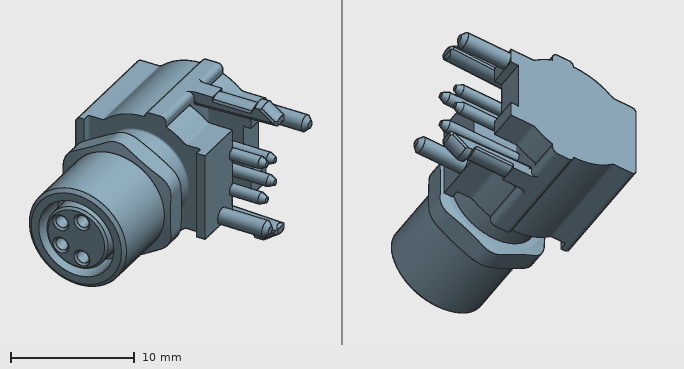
import cadquery as cq
import math


body_half_width = 6.0
body_half_height = 4.0
body_length = 9.3
flange_reach = 0.7
flange_thickness = 0.8
flange_root_radius = 0.18
barrel_bulge_radius = 5.5
blend_radius = 0.5
wing_end = 2.0
wing_top = barrel_bulge_radius + blend_radius

slot_back = -2.48
slot_front = -5.51
slot_corner_radius = 0.16

recess_depth = 0.7
recess_half_height = 2.45

total_length = 20.5
overlap = 0.2
neck_radius = 4.0
neck_root_radius = 0.18
nut_back = -11.97
nut_front = -14.02
nut_across_flats = 10.0
nut_corner_fillet = 1.85
nut_corner_radius = 5.5
nut_face_radius = 4.6
nut_chamfer_length = 0.25
barrel_radius = 4.5
barrel_chamfer_radial = 0.33
barrel_chamfer_length = 0.27
groove_outer_radius = 3.48
groove_depth = 3.08
insert_radius = 2.83
insert_chamfer = 0.2

contact_positions = [(0.51, 1.7), (-1.44, 1.07)]
socket_radius = 0.55
socket_mouth_radius = 0.74
socket_depth = 2.05
drill_tip_length = 0.33
contact_pin_radius = 0.51
contact_pin_tip_radius = 0.25
contact_pin_tip_length = 0.55
upper_contact_pin_end = 9.2
contact_pin_end_step = 0.23
contact_row_pitch = 1.76
pin_start = 1.02

peg_radius = 0.72
peg_tip_radius = 0.33
peg_tip_length = 0.4
peg_end = 10.5
peg_height = 3.25
peg_pitch = 6.5

latch_center = -3.98
latch_width = 1.55
latch_flare = 0.25
latch_flat_end = 3.73
latch_top = wing_top
latch_end = 9.64
latch_tip_chamfer = 0.27
latch_tip_rise = 0.16
latch_bottom = 4.1
hook_start = 7.34
hook_crest_start = 7.67
hook_crest_end = 8.32
hook_top = 6.5
hook_tip_height = 5.55
dome_radius = 1.09
rise_dome_radius = 1.82
beam_dome_half_width = 0.68
beam_shoulder_drop = 0.45
latch_underside_height = 4.55
latch_underside_x = 3.18
latch_underside_angle = 2.2


def mirrored_in_z(shape):
    """The shape together with its mirror image below the XY plane."""
    return shape.union(shape.mirror("XY"))


def circle_height(radius, x):
    return math.sqrt(radius**2 - x**2)


def make_housing():
    blend_center_height = body_half_height + blend_radius
    blend_start = math.sqrt((barrel_bulge_radius + blend_radius) ** 2 - blend_center_height**2)
    on_bulge = barrel_bulge_radius / (barrel_bulge_radius + blend_radius)
    blend_end = (blend_start * on_bulge, blend_center_height * on_bulge)
    blend_angle = math.atan2(blend_center_height, blend_start)
    middle_angle = (math.pi / 2 + blend_angle) / 2
    blend_turn = (blend_angle + math.pi / 2) / 2
    blend_middle = (
        blend_start - blend_radius * math.cos(blend_turn),
        blend_center_height - blend_radius * math.sin(blend_turn),
    )
    bulge_middle = (
        -barrel_bulge_radius * math.cos(middle_angle),
        barrel_bulge_radius * math.sin(middle_angle),
    )
    wing_foot = circle_height(barrel_bulge_radius, wing_end)
    wing_middle_x = (wing_end + blend_end[0]) / 2
    diagonal = blend_radius * math.sqrt(0.5)
    upper_half = (
        cq.Workplane("XZ")
        .moveTo(-body_half_width, 0)
        .lineTo(-body_half_width, body_half_height - blend_radius)
        .threePointArc(
            (-body_half_width + blend_radius - diagonal, body_half_height - blend_radius + diagonal),
            (-body_half_width + blend_radius, body_half_height),
        )
        .lineTo(-blend_start, body_half_height)
        .threePointArc((-blend_middle[0], blend_middle[1]), (-blend_end[0], blend_end[1]))
        .threePointArc(bulge_middle, (0, barrel_bulge_radius))
        .threePointArc((blend_radius - diagonal, barrel_bulge_radius + diagonal), (blend_radius, wing_top))
        .lineTo(wing_end - blend_radius, wing_top)
        .threePointArc(
            (wing_end - blend_radius + diagonal, barrel_bulge_radius + diagonal),
            (wing_end, barrel_bulge_radius),
        )
        .lineTo(wing_end, wing_foot)
        .threePointArc((wing_middle_x, circle_height(barrel_bulge_radius, wing_middle_x)), blend_end)
        .threePointArc(blend_middle, (blend_start, body_half_height))
        .lineTo(body_half_width, body_half_height)
        .lineTo(body_half_width, 0)
        .close()
        .extrude(body_length)
    )
    housing = mirrored_in_z(upper_half).union(make_flanges())
    slot_reach = 2 * body_half_width
    slot = (
        cq.Workplane("XY")
        .box(slot_reach, slot_back - slot_front, 4 * wing_top, centered=(False, False, True))
        .edges("|Z")
        .fillet(slot_corner_radius)
        .translate((wing_end, slot_front, 0))
    )
    recess = cq.Workplane("XY").box(
        slot_reach, slot_back - slot_front, 2 * recess_half_height, centered=(False, False, True)
    )
    recess = recess.translate((body_half_width - recess_depth, slot_back - slot_corner_radius, 0))
    return housing.cut(slot).cut(recess)


def make_flanges():
    """Lips along both sides of the housing front, with a rounded inner root."""
    front = -body_length - flange_reach
    inner = body_half_width - flange_thickness
    root = flange_root_radius
    plan = (
        cq.Workplane("XY", origin=(0, 0, -body_half_height))
        .moveTo(body_half_width, -body_length + overlap)
        .lineTo(body_half_width, front)
        .lineTo(inner, front)
        .lineTo(inner, -body_length - root)
        .radiusArc((inner - root, -body_length), -root)
        .lineTo(inner - root, -body_length + overlap)
        .close()
        .extrude(2 * body_half_height)
    )
    rounded = plan.mirror("YZ").edges("|Y and <X").fillet(blend_radius)
    return plan.union(rounded)


def make_plug():
    """Neck, hexagonal nut and barrel with the contact insert."""
    root_radius = neck_radius + neck_root_radius
    barrel_end = -total_length
    groove_floor = barrel_end + groove_depth
    plug = (
        cq.Workplane("XY")
        .moveTo(0, -body_length + overlap)
        .lineTo(root_radius, -body_length + overlap)
        .lineTo(root_radius, -body_length)
        .radiusArc((neck_radius, -body_length - neck_root_radius), -neck_root_radius)
        .lineTo(neck_radius, nut_front)
        .lineTo(barrel_radius, nut_front)
        .lineTo(barrel_radius, barrel_end + barrel_chamfer_length)
        .lineTo(barrel_radius - barrel_chamfer_radial, barrel_end)
        .lineTo(groove_outer_radius, barrel_end)
        .lineTo(groove_outer_radius, groove_floor)
        .lineTo(insert_radius, groove_floor)
        .lineTo(insert_radius, barrel_end + insert_chamfer)
        .lineTo(insert_radius - insert_chamfer, barrel_end)
        .lineTo(0, barrel_end)
        .close()
        .revolve(360, (0, 0, 0), (0, 1, 0))
    )
    return plug.union(make_nut())


def make_nut():
    nut_length = nut_back - nut_front
    hexagon = (
        cq.Workplane("XZ", origin=(0, nut_back, 0))
        .polygon(6, nut_across_flats, circumscribed=True)
        .extrude(nut_length)
        .edges("|Y")
        .fillet(nut_corner_fillet)
    )
    envelope = [
        (0, nut_back),
        (nut_face_radius, nut_back),
        (nut_corner_radius, nut_back - nut_chamfer_length),
        (nut_corner_radius, nut_front + nut_chamfer_length),
        (nut_face_radius, nut_front),
        (0, nut_front),
    ]
    rounding = cq.Workplane("XY").polyline(envelope).close().revolve(360, (0, 0, 0), (0, 1, 0))
    return hexagon.intersect(rounding)


def make_sockets():
    """Countersunk blind holes in the insert face, with conical ends."""
    countersink = socket_mouth_radius - socket_radius
    profile = [
        (0, 0),
        (socket_mouth_radius, 0),
        (socket_radius, countersink),
        (socket_radius, socket_depth),
        (0, socket_depth + drill_tip_length),
    ]
    socket = cq.Workplane("XY").polyline(profile).close().revolve(360, (0, 0, 0), (0, 1, 0))
    sockets = cq.Workplane("XY")
    for x, z in contact_positions:
        sockets = sockets.union(socket.translate((x, -total_length, z)))
    return mirrored_in_z(sockets)


def make_pin(radius, tip_radius, tip_length, end, y, z):
    """Round pin along X with a tapered tip, starting inside the housing."""
    profile = [
        (pin_start, 0),
        (pin_start, radius),
        (end - tip_length, radius),
        (end, tip_radius),
        (end, 0),
    ]
    pin = cq.Workplane("XY").polyline(profile).close().revolve(360, (0, 0, 0), (1, 0, 0))
    return pin.translate((0, y, z))


def make_contact_pins():
    pins = cq.Workplane("XY")
    for row, (_, z) in enumerate(contact_positions):
        pins = pins.union(
            make_pin(
                contact_pin_radius,
                contact_pin_tip_radius,
                contact_pin_tip_length,
                upper_contact_pin_end - row * contact_pin_end_step,
                slot_front + row * contact_row_pitch,
                z,
            )
        )
    return mirrored_in_z(pins)


def make_pegs():
    """One peg at the upper back and one at the lower front."""
    upper = make_pin(peg_radius, peg_tip_radius, peg_tip_length, peg_end, -peg_radius, peg_height)
    lower = make_pin(
        peg_radius, peg_tip_radius, peg_tip_length, peg_end, -peg_radius - peg_pitch, -peg_height
    )
    return upper.union(lower)


def domed_bar(x, z, angle, half_dome, shoulder_drop, radius=dome_radius):
    """Long bar whose rounded top has its crest through (x, z), tilted by angle in XZ."""
    reach = 2 * latch_end
    depth = 2 * latch_top
    half_width = latch_width / 2
    dome_drop = radius - circle_height(radius, half_dome)
    bar = (
        cq.Workplane("YZ", origin=(-reach, 0, 0))
        .moveTo(-half_width, -depth)
        .lineTo(-half_width, -shoulder_drop)
        .lineTo(-half_dome, -dome_drop)
        .threePointArc((0, 0), (half_dome, -dome_drop))
        .lineTo(half_width, -shoulder_drop)
        .lineTo(half_width, -depth)
        .close()
        .extrude(2 * reach)
    )
    return bar.rotate((0, 0, 0), (0, 1, 0), -angle).translate((x, latch_center, z))


def latch_side(points):
    """Prism over the latch width from an outline in XZ."""
    return (
        cq.Workplane("XZ", origin=(0, latch_center + latch_width / 2, 0))
        .polyline(points)
        .close()
        .extrude(latch_width)
    )


def make_latch_flare():
    """Flat plate that widens in two arcs from the latch sides to the wing."""
    half_width = latch_width / 2
    bottom = circle_height(barrel_bulge_radius, wing_end)
    start = wing_end - blend_radius
    end = wing_end + latch_flare
    flare_radius = ((end - start) ** 2 + latch_flare**2) / (2 * latch_flare)
    return (
        cq.Workplane("XY", origin=(0, latch_center, bottom))
        .moveTo(start, -half_width - latch_flare)
        .radiusArc((end, -half_width), flare_radius)
        .lineTo(end, half_width)
        .radiusArc((start, half_width + latch_flare), flare_radius)
        .close()
        .extrude(latch_top - bottom)
    )


def make_latch():
    """Upper latch: flat root, domed beam and a hook with a sloping nose."""
    half_width = latch_width / 2
    root = latch_side(
        [
            (wing_end - blend_radius, latch_bottom),
            (latch_flat_end, latch_bottom),
            (latch_flat_end, latch_top),
            (wing_end - blend_radius, latch_top),
        ]
    )
    beam = latch_side(
        [
            (latch_flat_end, latch_bottom),
            (hook_crest_start, latch_bottom),
            (hook_crest_start, latch_top),
            (latch_flat_end, latch_top),
        ]
    ).intersect(domed_bar(0, latch_top, 0, beam_dome_half_width, beam_shoulder_drop))

    slope_run = latch_end - hook_crest_end
    slope_angle = math.degrees(math.atan2(hook_tip_height - hook_top, slope_run))
    tip_run = latch_end - latch_tip_chamfer - latch_underside_x
    tip_underside = latch_underside_height + tip_run * math.tan(math.radians(latch_underside_angle))
    hook = latch_side(
        [
            (hook_start - beam_shoulder_drop, latch_bottom),
            (latch_end - latch_tip_chamfer, latch_bottom),
            (latch_end - latch_tip_chamfer, tip_underside),
            (latch_end, tip_underside + latch_tip_rise),
            (latch_end, hook_top),
            (hook_start - beam_shoulder_drop, hook_top),
        ]
    )
    nose_shoulder = (beam_dome_half_width, beam_shoulder_drop)
    hook_height = hook_top - latch_top
    rise_angle = math.degrees(math.atan2(hook_height, hook_crest_start - hook_start))
    rise_bar = domed_bar(
        hook_start, latch_top, rise_angle, half_width, hook_height, radius=rise_dome_radius
    )
    hook = hook.intersect(rise_bar)
    hook = hook.intersect(domed_bar(0, hook_top, 0, half_width, hook_height))
    hook = hook.intersect(domed_bar(hook_crest_end, hook_top, slope_angle, *nose_shoulder))

    underside = domed_bar(
        latch_underside_x, -latch_underside_height, -latch_underside_angle,
        beam_dome_half_width, beam_shoulder_drop,
    ).mirror("XY")
    latch = root.union(beam).union(hook).intersect(underside)

    tip_cutter = (
        cq.Workplane("XY")
        .box(2 * latch_end, latch_width, 4 * wing_top)
        .edges("|Z and >X")
        .chamfer(latch_tip_chamfer)
        .translate((0, latch_center, 0))
    )
    return latch.intersect(tip_cutter).union(make_latch_flare())


result = (
    make_housing()
    .union(make_plug())
    .cut(make_sockets())
    .union(make_contact_pins())
    .union(make_pegs())
    .union(mirrored_in_z(make_latch()))
)